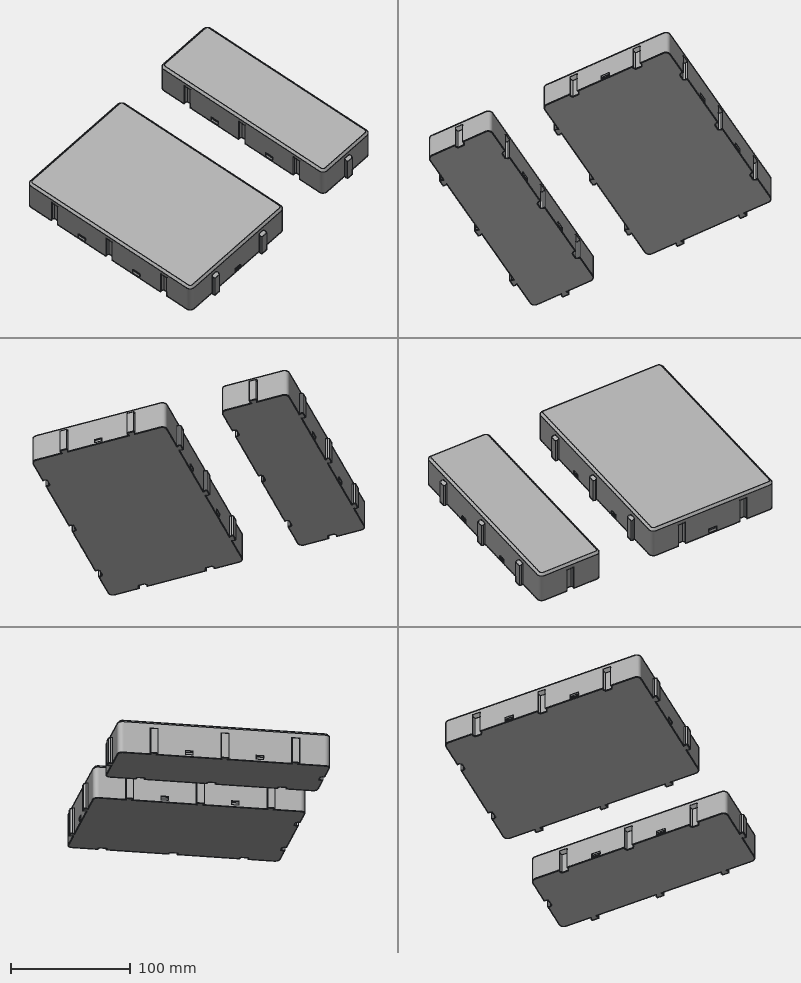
import cadquery as cq

CELL = 60.3
BLOCK_CLEARANCE = 0.2
BLOCK_HEIGHT = 29.7
CELLS_ALONG_X = 3
WIDE_BLOCK_ROWS = 2
NARROW_BLOCK_ROWS = 1
OVERALL_DEPTH = 233.8

CORNER_RADIUS = 4.5
TOP_CHAMFER = 2.0
BOTTOM_CHAMFER = 0.5

TAB_REACH = 3.5
TAB_NECK_WIDTH = 5.5
TAB_WAIST_WIDTH = 7.0
TAB_TIP_WIDTH = 6.0
TAB_HEIGHT = 23.4
TAB_TOP_SLOPE = 1.2

GROOVE_DEPTH = 3.5
GROOVE_MOUTH_WIDTH = 6.8
GROOVE_WAIST_WIDTH = 7.5
GROOVE_BACK_WIDTH = 5.4
GROOVE_HEIGHT = 23.8
GROOVE_TOP_SLOPE = 1.6

RIDGE_WIDTH = 6.3
RIDGE_REACH = 0.7
RIDGE_BOTTOM = 2.0
RIDGE_TOP = 5.5
RIDGE_TIP_BOTTOM = 3.7
RIDGE_TIP_TOP = 5.0
POCKET_WIDTH = 7.7
POCKET_DEPTH = 1.0
POCKET_BOTTOM = 1.6
POCKET_TOP = 6.0
POCKET_BACK_BOTTOM = 3.5
POCKET_BACK_TOP = 5.1


def block_side(cells):
    """Length of a block side that spans a number of cells."""
    return cells * CELL - BLOCK_CLEARANCE


def cell_centers(cells):
    """Offsets of the cell centers from the middle of a side."""
    return [(i - (cells - 1) / 2) * CELL for i in range(cells)]


def cell_borders(cells):
    """Offsets of the borders between cells from the middle of a side."""
    return [(i - cells / 2) * CELL for i in range(1, cells)]


def hexagonal_key(reach, root_width, waist_width, end_width, height, top_slope):
    """Upright key growing from the plane Y = 0 toward +Y, its top sloping down to the end."""
    plan = [
        (-root_width / 2, 0),
        (-waist_width / 2, reach / 2),
        (-end_width / 2, reach),
        (end_width / 2, reach),
        (waist_width / 2, reach / 2),
        (root_width / 2, 0),
    ]
    key = cq.Workplane("XY").polyline(plan).close().extrude(height)
    side_profile = [(0, 0), (reach, 0), (reach, height - top_slope), (0, height)]
    return key.intersect(side_prism(side_profile, waist_width))


def side_prism(profile, width):
    """Prism along X, centered on X = 0, from a profile of (Y, Z) points."""
    return cq.Workplane("YZ").polyline(profile).close().extrude(width / 2, both=True)


def tab():
    return hexagonal_key(
        TAB_REACH, TAB_NECK_WIDTH, TAB_WAIST_WIDTH, TAB_TIP_WIDTH, TAB_HEIGHT, TAB_TOP_SLOPE
    )


def groove():
    return hexagonal_key(
        GROOVE_DEPTH,
        GROOVE_MOUTH_WIDTH,
        GROOVE_WAIST_WIDTH,
        GROOVE_BACK_WIDTH,
        GROOVE_HEIGHT,
        GROOVE_TOP_SLOPE,
    )


def ridge():
    profile = [
        (0, RIDGE_BOTTOM),
        (RIDGE_REACH, RIDGE_TIP_BOTTOM),
        (RIDGE_REACH, RIDGE_TIP_TOP),
        (0, RIDGE_TOP),
    ]
    return side_prism(profile, RIDGE_WIDTH)


def pocket():
    profile = [
        (0, POCKET_BOTTOM),
        (POCKET_DEPTH, POCKET_BACK_BOTTOM),
        (POCKET_DEPTH, POCKET_BACK_TOP),
        (0, POCKET_TOP),
    ]
    return side_prism(profile, POCKET_WIDTH)


def along_x_wall(feature, offset, wall_y):
    """Place a +Y facing feature on a wall that runs along X."""
    return feature.translate((offset, wall_y, 0))


def along_y_wall(feature, offset, wall_x):
    """Turn a +Y facing feature to face +X and place it on a wall that runs along Y."""
    return feature.rotate((0, 0, 0), (0, 0, 1), -90).translate((wall_x, offset, 0))


def block(rows):
    """Block centered on the Z axis: grooves and pockets on -X and -Y, tabs and ridges on +X and +Y."""
    length = block_side(CELLS_ALONG_X)
    depth = block_side(rows)
    body = (
        cq.Workplane("XY")
        .box(length, depth, BLOCK_HEIGHT, centered=(True, True, False))
        .edges("|Z")
        .fillet(CORNER_RADIUS)
        .faces(">Z")
        .chamfer(TOP_CHAMFER)
    )

    for x in cell_centers(CELLS_ALONG_X):
        body = body.cut(along_x_wall(groove(), x, -depth / 2))
        body = body.union(along_x_wall(tab(), x, depth / 2))
    for y in cell_centers(rows):
        body = body.cut(along_y_wall(groove(), y, -length / 2))
        body = body.union(along_y_wall(tab(), y, length / 2))

    for x in cell_borders(CELLS_ALONG_X):
        body = body.cut(along_x_wall(pocket(), x, -depth / 2))
        body = body.union(along_x_wall(ridge(), x, depth / 2))
    for y in cell_borders(rows):
        body = body.cut(along_y_wall(pocket(), y, -length / 2))
        body = body.union(along_y_wall(ridge(), y, length / 2))

    return body.faces("<Z").chamfer(BOTTOM_CHAMFER)


wide_block_y = (block_side(WIDE_BLOCK_ROWS) - OVERALL_DEPTH) / 2
narrow_block_y = (OVERALL_DEPTH - block_side(NARROW_BLOCK_ROWS)) / 2 - TAB_REACH

wide_block = block(WIDE_BLOCK_ROWS).translate((0, wide_block_y, 0))
narrow_block = block(NARROW_BLOCK_ROWS).translate((0, narrow_block_y, 0))

result = cq.Compound.makeCompound([wide_block.val(), narrow_block.val()])